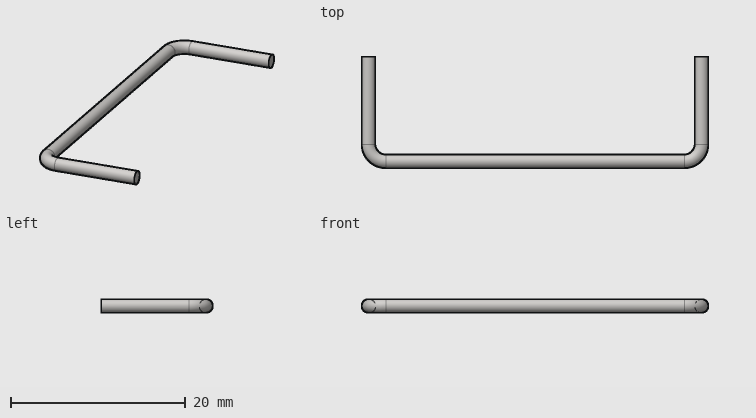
import cadquery as cq

length = 39.7
depth = 12.8
wire_diameter = 1.6
bend_radius = 2.0

wire_radius = wire_diameter / 2
leg_x = length / 2 - wire_radius
bar_y = wire_radius
bar_end_x = leg_x - bend_radius
leg_start_y = bar_y + bend_radius

centreline = (
    cq.Workplane("XY")
    .moveTo(-leg_x, depth)
    .lineTo(-leg_x, leg_start_y)
    .radiusArc((-bar_end_x, bar_y), -bend_radius)
    .lineTo(bar_end_x, bar_y)
    .radiusArc((leg_x, leg_start_y), -bend_radius)
    .lineTo(leg_x, depth)
)

result = (
    cq.Workplane("XZ", origin=(-leg_x, depth, 0))
    .circle(wire_radius)
    .sweep(centreline)
)